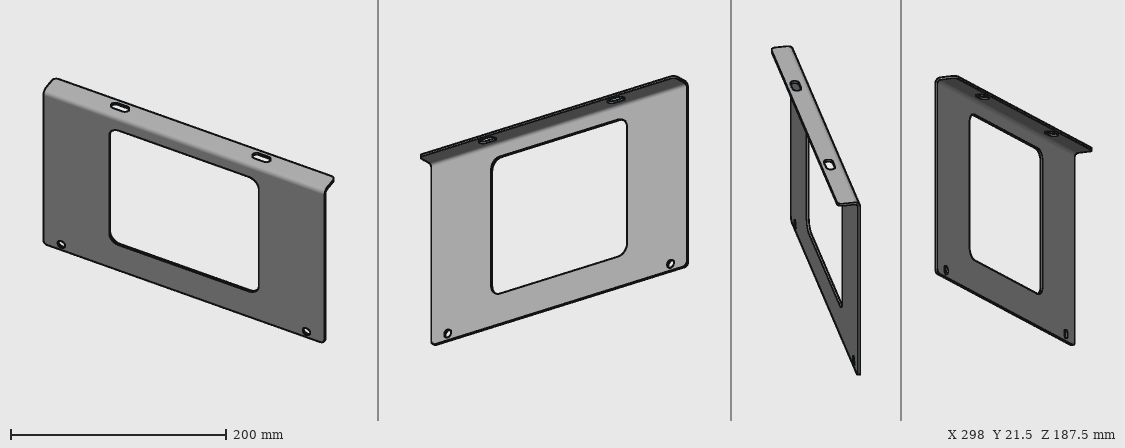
import cadquery as cq

width = 298.0
depth = 21.5
height = 187.5
thickness = 2.5
bend_outer_radius = 5.7
bend_inner_radius = bend_outer_radius - thickness
corner_radius = 4.5

cutter_depth = 4 * thickness

window_width = 158.5
window_height = 140.0
window_top_margin = 16.5
window_corner_radius = 10.7

hole_diameter = 8.0
hole_spacing = 260.0
hole_bottom_margin = 7.0

slot_length = 18.5
slot_width = 8.3
slot_spacing = 150.0
slot_back_margin = 8.0



def bent_sheet():
    """Upright plate with a flange bent backward along its top edge."""
    outer = cq.Workplane("XY").box(width, depth, height, centered=(True, False, False))
    outer = outer.edges("|X and <Y and >Z").fillet(bend_outer_radius)
    inner = (
        cq.Workplane("XY")
        .box(width, depth, height, centered=(True, False, False))
        .edges("|X and <Y and >Z")
        .fillet(bend_inner_radius)
        .translate((0, thickness, -thickness))
    )
    return outer.cut(inner)


def round_free_corners(sheet):
    """Round the bottom corners of the plate and the back corners of the flange."""
    sheet = sheet.faces("<Z").edges("|Y").fillet(corner_radius)
    return sheet.faces(">Y").edges("|Z").fillet(corner_radius)


def window_cutter():
    center_z = height - window_top_margin - window_height / 2
    return (
        cq.Workplane("XY")
        .box(window_width, cutter_depth, window_height)
        .edges("|Y")
        .fillet(window_corner_radius)
        .translate((0, 0, center_z))
    )


def hole_cutters():
    centers = [(side * hole_spacing / 2, hole_bottom_margin) for side in (-1, 1)]
    return cq.Workplane("XZ").pushPoints(centers).circle(hole_diameter / 2).extrude(cutter_depth / 2, both=True)


def slot_cutters():
    centers = [(side * slot_spacing / 2, depth - slot_back_margin) for side in (-1, 1)]
    return (
        cq.Workplane("XY", origin=(0, 0, height))
        .pushPoints(centers)
        .slot2D(slot_length, slot_width)
        .extrude(cutter_depth / 2, both=True)
    )


bracket = round_free_corners(bent_sheet())
result = bracket.cut(window_cutter()).cut(hole_cutters()).cut(slot_cutters())